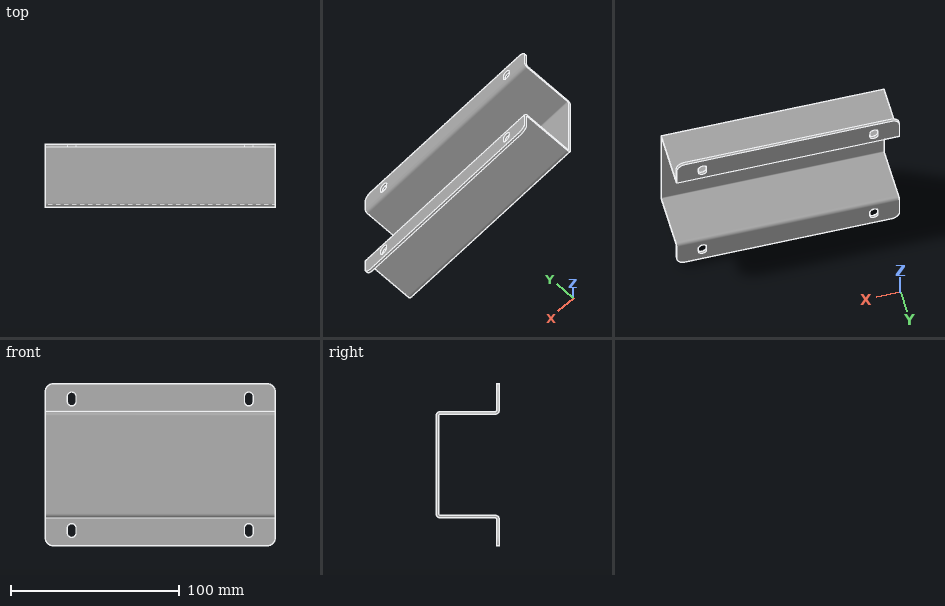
import cadquery as cq

length = 136.5
depth = 37.5
height = 96.2

thickness = 1.6
inner_bend_radius = 0.8
outer_bend_radius = inner_bend_radius + thickness

channel_height = 63.0

corner_radius = 5.0
slot_width = 5.0
slot_length = 8.0
slot_spacing_x = 105.0
slot_spacing_z = 78.0

front_outside = -depth / 2
front_inside = front_outside + thickness
flange_back = depth / 2
flange_front = flange_back - thickness
channel_outside = channel_height / 2
channel_inside = channel_outside - thickness


def flange_plate():
    """Upright plate with rounded corners that forms both flanges."""
    return (
        cq.Workplane("XZ", origin=(0, flange_back, 0))
        .rect(length, height)
        .extrude(thickness)
        .edges("|Y")
        .fillet(corner_radius)
    )


def channel_block(front, half_height):
    """Full-length block running from a front face to the back of the flanges."""
    return (
        cq.Workplane("XZ", origin=(0, flange_back, 0))
        .rect(length, 2 * half_height)
        .extrude(flange_back - front)
    )


def round_bends(body):
    """Round the inside and outside of all four bends."""
    bend_edges = (
        (front_outside, channel_outside, outer_bend_radius),
        (front_inside, channel_inside, inner_bend_radius),
        (flange_front, channel_outside, inner_bend_radius),
        (flange_back, channel_inside, outer_bend_radius),
    )
    for y, z, radius in bend_edges:
        for side in (-1, 1):
            edge = cq.selectors.NearestToPointSelector((0, y, side * z))
            body = body.edges(edge).fillet(radius)
    return body


def slot_cutters():
    """Four upright slots passing through the flanges."""
    return (
        cq.Workplane("XZ", origin=(0, flange_back, 0))
        .rarray(slot_spacing_x, slot_spacing_z, 2, 2)
        .slot2D(slot_length, slot_width, 90)
        .extrude(thickness)
    )


solid_hat = flange_plate().union(channel_block(front_outside, channel_outside))
folded_sheet = solid_hat.cut(channel_block(front_inside, channel_inside))
result = round_bends(folded_sheet).cut(slot_cutters())